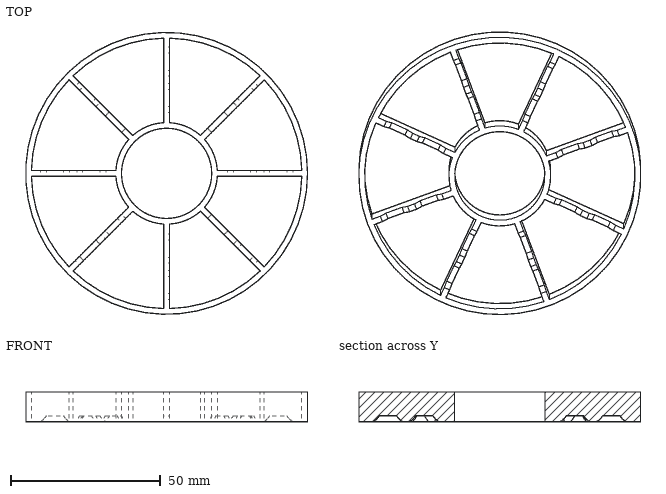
import cadquery as cq
import math

outer_diameter = 94.0
bore_diameter = 30.0
height = 10.0
wall = 2.0
outer_radius = outer_diameter / 2
bore_radius = bore_diameter / 2
hub_radius = bore_radius + wall

spoke_count = 8
notch_count = 2
notch_depth = wall
notch_roof_width = 5.7
notch_flank_run = wall
flank_bulge = 0.14
first_notch_radius = 25.1
notch_spacing = 12.1


def ring(outside_radius):
    """Upright ring of the common wall thickness."""
    return cq.Workplane("XY").circle(outside_radius).circle(outside_radius - wall).extrude(height)


def flank_middle(centre, side):
    """Middle of a notch flank, moved off its chord into the notch so that the flank is rounded."""
    flank_length = math.hypot(notch_flank_run, notch_depth)
    inward_shift = flank_bulge * notch_depth / flank_length
    downward_shift = flank_bulge * notch_flank_run / flank_length
    distance = (notch_roof_width + notch_flank_run) / 2 - inward_shift
    return centre + side * distance, notch_depth / 2 - downward_shift


def notch(centre):
    """Flat-roofed notch with rounded flanks, open at the bottom, cut across a spoke along X."""
    roof_half = notch_roof_width / 2
    mouth_half = roof_half + notch_flank_run
    return (
        cq.Workplane("XZ")
        .moveTo(centre - mouth_half, 0)
        .threePointArc(flank_middle(centre, -1), (centre - roof_half, notch_depth))
        .lineTo(centre + roof_half, notch_depth)
        .threePointArc(flank_middle(centre, 1), (centre + mouth_half, 0))
        .close()
        .extrude(wall, both=True)
    )


def notched_spoke():
    """Spoke along +X, ending inside the hub wall and the rim wall."""
    start = hub_radius - wall / 2
    end = outer_radius - wall / 2
    body = cq.Workplane("XY").box(end - start, wall, height, centered=(False, True, False))
    body = body.translate((start, 0, 0))
    for index in range(notch_count):
        body = body.cut(notch(first_notch_radius + index * notch_spacing))
    return body


result = ring(outer_radius).union(ring(hub_radius))
spoke = notched_spoke()
for index in range(spoke_count):
    angle = index * 360 / spoke_count
    result = result.union(spoke.rotate((0, 0, 0), (0, 0, 1), angle))